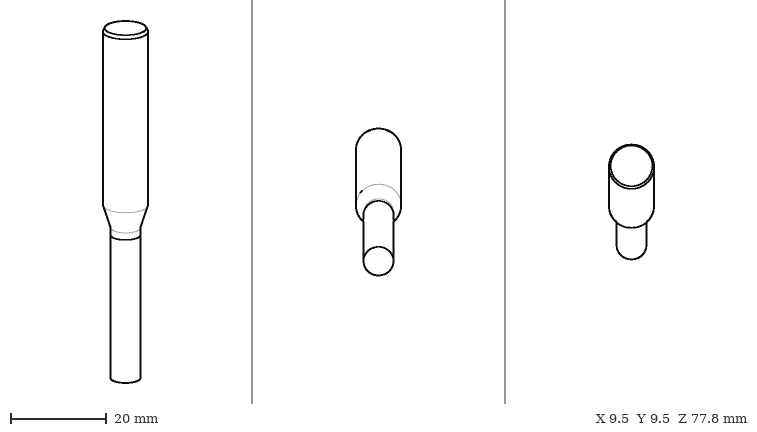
import cadquery as cq

TOTAL_LENGTH = 77.8
ROD_LENGTH = 31.8
NECK_LENGTH = 1.6
CONE_LENGTH = 5.05

SHANK_DIAMETER = 9.5
ROD_DIAMETER = 6.3
CHAMFER_HEIGHT = 0.8
CHAMFER_WIDTH = 0.4

SHANK_RADIUS = SHANK_DIAMETER / 2
ROD_RADIUS = ROD_DIAMETER / 2


def make_rod():
    """Plain cylindrical rod that butts against the neck of the holder."""
    return cq.Workplane("XY").circle(ROD_RADIUS).extrude(ROD_LENGTH)


def make_holder():
    """Chamfered shank that narrows through a cone to a short neck as wide as the rod."""
    neck_top = ROD_LENGTH + NECK_LENGTH
    cone_top = neck_top + CONE_LENGTH
    profile = (
        cq.Workplane("XZ")
        .moveTo(0, ROD_LENGTH)
        .lineTo(ROD_RADIUS, ROD_LENGTH)
        .lineTo(ROD_RADIUS, neck_top)
        .lineTo(SHANK_RADIUS, cone_top)
        .lineTo(SHANK_RADIUS, TOTAL_LENGTH - CHAMFER_HEIGHT)
        .lineTo(SHANK_RADIUS - CHAMFER_WIDTH, TOTAL_LENGTH)
        .lineTo(0, TOTAL_LENGTH)
        .close()
    )
    return profile.revolve(360, (0, 0, 0), (0, 1, 0))


rod = make_rod()
holder = make_holder()

result = cq.Compound.makeCompound([holder.val(), rod.val()])